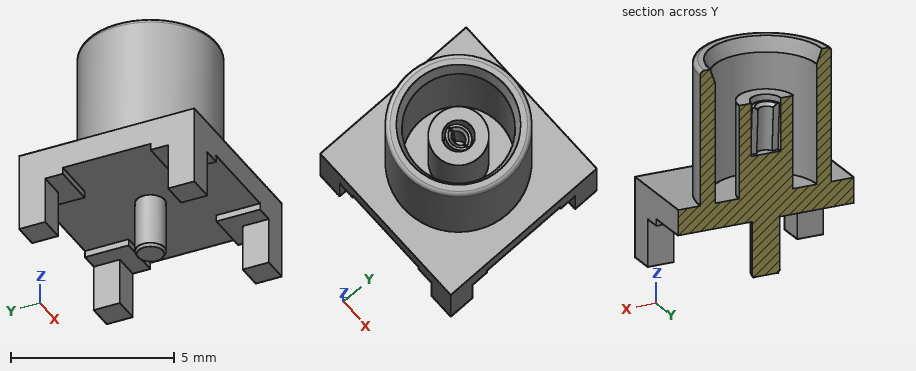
import cadquery as cq
import math

base_width = 6.0
plate_thickness = 0.86
pad_width = 1.5
pad_bottom = -1.08
leg_width = 0.895
leg_bottom = -2.66

shell_radius = 2.25
shell_height = 4.45
rim_fillet = 0.14
bore_radius = 1.73
mouth_radius = 1.905
mouth_depth = 0.48

boss_radius = 0.93
boss_depth = 1.375
boss_top = shell_height - boss_depth
socket_radius = 0.5

contact_radius = 0.48
overall_height = 7.16
pin_bottom = shell_height - overall_height
pin_chamfer_height = 0.1
pin_chamfer_inset = 0.06
tine_length = 1.575
tine_recess = 0.18
tine_root = boss_top - tine_recess - tine_length
tine_bore_radius = 0.285
tine_entry_radius = 0.395
tine_entry_depth = 0.11
tip_shift = 0.1
tip_gap = 0.03
slit_half_width = tip_shift + tip_gap / 2
tine_angle = math.degrees(math.asin(tip_shift / tine_length))
root_overlap = 0.035


def square_block(width, bottom, x=0, y=0):
    """Square block hanging from Z = 0 down to the given level."""
    return cq.Workplane("XY").center(x, y).rect(width, width).extrude(bottom)


def make_base():
    base = square_block(base_width, -plate_thickness)
    for width, bottom in ((pad_width, pad_bottom), (leg_width, leg_bottom)):
        offset = (base_width - width) / 2
        for x_side in (-1, 1):
            for y_side in (-1, 1):
                base = base.union(square_block(width, bottom, x_side * offset, y_side * offset))
    return base


def make_shell():
    shell = cq.Workplane("XY").circle(shell_radius).extrude(shell_height)
    shell = shell.faces(">Z").edges().fillet(rim_fillet)
    mouth_bottom = shell_height - mouth_depth
    bore_profile = [
        (0, 0),
        (bore_radius, 0),
        (bore_radius, mouth_bottom),
        (mouth_radius, shell_height),
        (0, shell_height),
    ]
    bore = cq.Workplane("XZ").polyline(bore_profile).close().revolve(360, (0, 0), (0, 1))
    return shell.cut(bore)


def make_boss():
    boss = cq.Workplane("XY").circle(boss_radius).extrude(boss_top)
    socket = cq.Workplane("XY").workplane(offset=tine_root).circle(socket_radius).extrude(boss_top)
    return boss.cut(socket)


def make_pin():
    pin_tip_radius = contact_radius - pin_chamfer_inset
    profile = [
        (0, pin_bottom),
        (pin_tip_radius, pin_bottom),
        (contact_radius, pin_bottom + pin_chamfer_height),
        (contact_radius, 0),
        (0, 0),
    ]
    return cq.Workplane("XZ").polyline(profile).close().revolve(360, (0, 0), (0, 1))


def make_tine(side):
    """Half tube on the given Y side, its tip bent towards the axis."""
    tine_top = tine_root + tine_length
    profile = [
        (tine_bore_radius, tine_root - root_overlap),
        (contact_radius, tine_root - root_overlap),
        (contact_radius, tine_top),
        (tine_entry_radius, tine_top),
        (tine_bore_radius, tine_top - tine_entry_depth),
    ]
    tube = cq.Workplane("XZ").polyline(profile).close().revolve(360, (0, 0), (0, 1))
    half_space = cq.Workplane("XY").box(base_width, base_width, 2 * shell_height)
    half_space = half_space.translate((0, side * (base_width / 2 + slit_half_width), 0))
    tine = tube.intersect(half_space)
    return tine.rotate((0, 0, tine_root), (1, 0, tine_root), side * tine_angle)


result = make_base().union(make_shell()).union(make_boss()).union(make_pin())
for side in (-1, 1):
    result = result.union(make_tine(side))